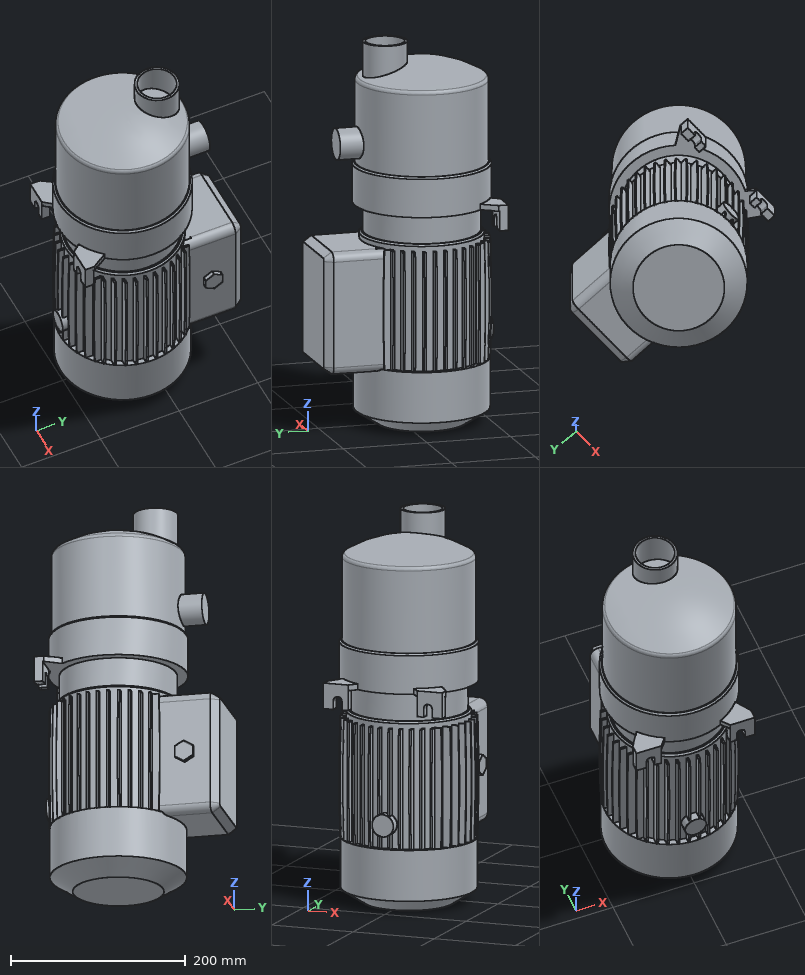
import cadquery as cq
import math

total_height = 452.0

base_radius = 52.5
cowl_radius = 78.5
cowl_bottom = 16.5
cowl_top = 76.5
core_radius = 72.0
core_top = 226.0
core_chamfer = 2.3
neck_radius = 68.0
flange_radius = 80.0
flange_bottom = 260.0
flange_top = 307.5
flange_chamfer = 2.3
tank_radius = 77.0
tank_top = 407.3
tank_round = 5.5
rim_margin = 0.5
dome_apex = 429.5

fin_top = 218.0
fin_thickness = 2.3
fin_bulge = 1.15
fins_per_group = 10
fin_pitch_angle = 9.0

inlet_radius = 25.8
inlet_bore_radius = 22.5
inlet_y = 44.0
inlet_depth = 9.0
outlet_radius = 18.5
outlet_z = 334.0
outlet_end = 102.5

box_half_width = 50.0
box_bottom = 73.0
box_top = fin_top
box_front = 49.5
box_back = 129.5
box_round = 10.0
cover_bevel_depth = 10.0
cover_bevel_inset = 7.0
gland_across_flats = 21.2
gland_end = 55.5
gland_y = 90.0

front_y = -82.3
foot_inner_x = 42.5
foot_outer_x = 73.0
foot_bottom = 236.5
foot_top = 266.5
leg_thickness = 10.5
web_outline = [
    (foot_inner_x, front_y),
    (foot_outer_x, front_y),
    (foot_outer_x, -70.5),
    (60.5, -51.0),
    (33.5, -71.0),
]
slot_width = 10.5
slot_x = 55.5
slot_top = 251.8
plug_radius = 13.0
plug_z = 105.0


def make_body():
    """Revolve the base cone, cowl, finned core, neck, flange and domed tank."""
    dome_rise = dome_apex - tank_top
    dome_radius = (tank_radius**2 + dome_rise**2) / (2 * dome_rise)
    half_angle = math.asin(tank_radius / dome_radius) / 2
    dome_middle = (
        dome_radius * math.sin(half_angle),
        dome_apex - dome_radius * (1 - math.cos(half_angle)),
    )
    body = (
        cq.Workplane("XZ")
        .moveTo(0, 0)
        .lineTo(base_radius, 0)
        .lineTo(cowl_radius, cowl_bottom)
        .lineTo(cowl_radius, cowl_top)
        .lineTo(core_radius, cowl_top)
        .lineTo(core_radius, core_top - core_chamfer)
        .lineTo(core_radius - core_chamfer, core_top)
        .lineTo(neck_radius, core_top)
        .lineTo(neck_radius, flange_bottom)
        .lineTo(flange_radius, flange_bottom)
        .lineTo(flange_radius, flange_top - flange_chamfer)
        .lineTo(flange_radius - flange_chamfer, flange_top)
        .lineTo(tank_radius, flange_top)
        .lineTo(tank_radius, tank_top)
        .threePointArc(dome_middle, (0, dome_apex))
        .close()
        .revolve(360, (0, 0), (0, 1))
    )
    rim = cq.selectors.BoxSelector(
        (-tank_radius, -tank_radius, tank_top - rim_margin),
        (tank_radius, tank_radius, tank_top + rim_margin),
    )
    return body.edges(rim).fillet(tank_round)


def make_fins():
    """Parallel plates along X and along Y, with flat, slightly bowed tips."""
    middle_z = (cowl_top + fin_top) / 2
    plates = cq.Workplane("XY")
    for index in range(fins_per_group):
        angle = math.radians((index - (fins_per_group - 1) / 2) * fin_pitch_angle)
        offset = cowl_radius * math.sin(angle)
        reach = cowl_radius * math.cos(angle)
        plate = (
            cq.Workplane("XZ", origin=(0, offset + fin_thickness / 2, 0))
            .moveTo(-reach, cowl_top)
            .lineTo(reach, cowl_top)
            .threePointArc((reach + fin_bulge, middle_z), (reach, fin_top))
            .lineTo(-reach, fin_top)
            .threePointArc((-reach - fin_bulge, middle_z), (-reach, cowl_top))
            .close()
            .extrude(fin_thickness)
        )
        plates = plates.union(plate)
    return plates.union(plates.rotate((0, 0, 0), (0, 0, 1), 90))


def make_terminal_box():
    """Box with rounded long edges, a bevelled back and a hexagonal cable gland."""
    height = box_top - box_bottom
    middle_z = box_bottom + height / 2
    box = (
        cq.Workplane("XZ", origin=(0, box_front, middle_z))
        .rect(2 * box_half_width, height)
        .extrude(box_front - box_back)
        .edges("|Y")
        .fillet(box_round)
        .faces(">Y")
        .chamfer(cover_bevel_depth, cover_bevel_inset)
    )
    gland = (
        cq.Workplane("YZ", origin=(0, gland_y, middle_z))
        .polygon(6, gland_across_flats, circumscribed=True)
        .extrude(gland_end)
    )
    return box.union(gland)


def make_foot():
    """Right-hand foot: a web under the flange and a slotted leg hanging at its front."""
    web = (
        cq.Workplane("XY", origin=(0, 0, flange_bottom))
        .polyline(web_outline)
        .close()
        .extrude(foot_top - flange_bottom)
    )
    leg = (
        cq.Workplane("XY")
        .box(foot_outer_x - foot_inner_x, leg_thickness, foot_top - foot_bottom, centered=False)
        .translate((foot_inner_x, front_y, foot_bottom))
    )
    slot_radius = slot_width / 2
    slot = (
        cq.Workplane("XZ", origin=(slot_x, front_y, 0))
        .moveTo(-slot_radius, foot_bottom)
        .lineTo(-slot_radius, slot_top - slot_radius)
        .threePointArc((0, slot_top), (slot_radius, slot_top - slot_radius))
        .lineTo(slot_radius, foot_bottom)
        .close()
        .extrude(-leg_thickness)
    )
    return web.union(leg).cut(slot)


inlet = (
    cq.Workplane("XY", origin=(0, inlet_y, tank_top - inlet_depth))
    .circle(inlet_radius)
    .circle(inlet_bore_radius)
    .extrude(total_height - tank_top + inlet_depth)
)
outlet = cq.Workplane("XZ", origin=(0, 0, outlet_z)).circle(outlet_radius).extrude(-outlet_end)
plug = cq.Workplane("XZ", origin=(0, 0, plug_z)).circle(plug_radius).extrude(-front_y)
foot = make_foot()

result = (
    make_body()
    .union(make_fins())
    .union(make_terminal_box())
    .union(foot)
    .union(foot.mirror("YZ"))
    .union(inlet)
    .union(outlet)
    .union(plug)
)